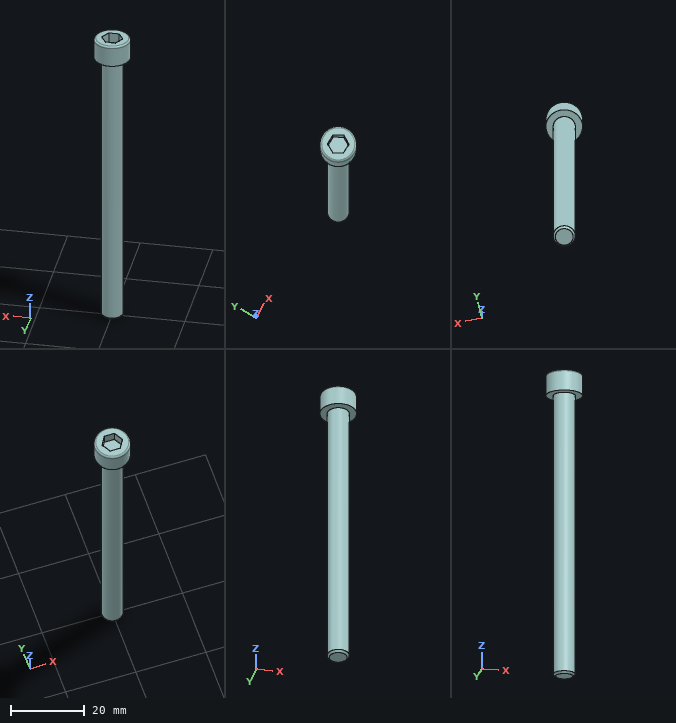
import cadquery as cq
import math

total_length = 86.0
head_diameter = 10.0
head_height = 6.0
head_edge_radius = 0.5
shank_diameter = 6.0
tip_chamfer = 0.6
socket_across_flats = 5.0
socket_depth = 3.0

shank_length = total_length - head_height
socket_across_corners = socket_across_flats / math.cos(math.pi / 6)


def make_head():
    """Cylindrical head with a rounded top edge."""
    head = cq.Workplane("XY").circle(head_diameter / 2).extrude(head_height)
    return head.faces(">Z").edges().fillet(head_edge_radius)


def make_shank():
    """Plain shank with a chamfered tip."""
    shank = cq.Workplane("XY").circle(shank_diameter / 2).extrude(-shank_length)
    return shank.faces("<Z").edges().chamfer(tip_chamfer)


def make_socket():
    """Hexagonal key socket with two corners on the X axis."""
    top = cq.Workplane("XY").workplane(offset=head_height)
    return top.polygon(6, socket_across_corners).extrude(-socket_depth)


result = make_head().union(make_shank()).cut(make_socket())